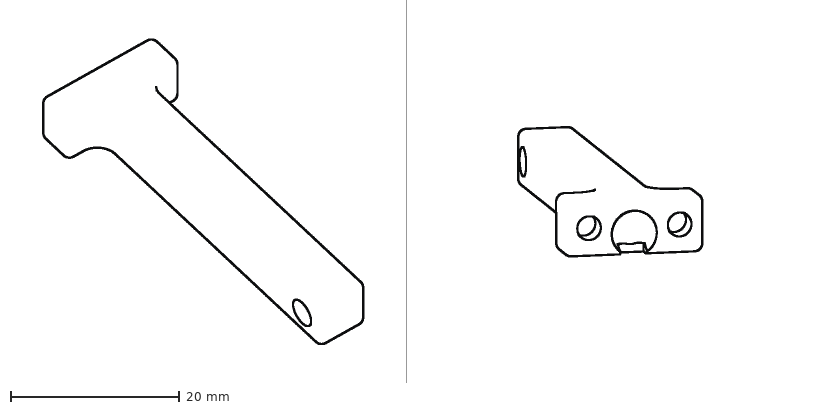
import cadquery as cq

length = 48.0
head_width = 17.0
thickness = 7.0
bar_width = thickness
head_depth = 5.47

edge_radius = 1.0
inner_corner_radius = 2.5

cross_hole_diameter = 3.5
cross_hole_end_distance = 3.5

face_hole_diameter = 2.9
face_hole_depth = 3.0
face_hole_offset = 5.5

socket_diameter = 5.47
socket_drop = 0.85
notch_width = 3.25
notch_height = 1.1
notch_depth = 2.15


def make_body():
    """T-shaped block, centred on Y and Z, with all outer edges rounded."""
    head = cq.Workplane("XY").box(head_depth, head_width, thickness, centered=(False, True, True))
    bar = cq.Workplane("XY").box(length, bar_width, thickness, centered=(False, True, True))
    body = head.union(bar)
    inner_corners = cq.selectors.BoxSelector(
        (head_depth - edge_radius, -bar_width / 2 - edge_radius, -thickness),
        (head_depth + edge_radius, bar_width / 2 + edge_radius, thickness),
    )
    body = body.edges("|Z").edges(inner_corners).fillet(inner_corner_radius)
    outer_corners = body.edges("|Z").edges("<X or >X or <Y or >Y")
    body = outer_corners.fillet(edge_radius)
    return body.faces("<Z or >Z").edges().fillet(edge_radius)


def make_cross_hole():
    return (
        cq.Workplane("XZ")
        .center(length - cross_hole_end_distance, 0)
        .circle(cross_hole_diameter / 2)
        .extrude(bar_width, both=True)
    )


def make_face_holes():
    return (
        cq.Workplane("YZ")
        .pushPoints([(-face_hole_offset, 0), (face_hole_offset, 0)])
        .circle(face_hole_diameter / 2)
        .extrude(face_hole_depth)
    )


def make_socket():
    """Ball socket centred on the head face, opened downwards by the notch."""
    ball = cq.Workplane("XY").sphere(socket_diameter / 2).translate((0, 0, -socket_drop))
    notch = (
        cq.Workplane("XY")
        .box(notch_depth, notch_width, notch_height, centered=(False, True, False))
        .translate((0, 0, -thickness / 2))
    )
    return ball.union(notch)


result = make_body().cut(make_cross_hole()).cut(make_face_holes()).cut(make_socket())